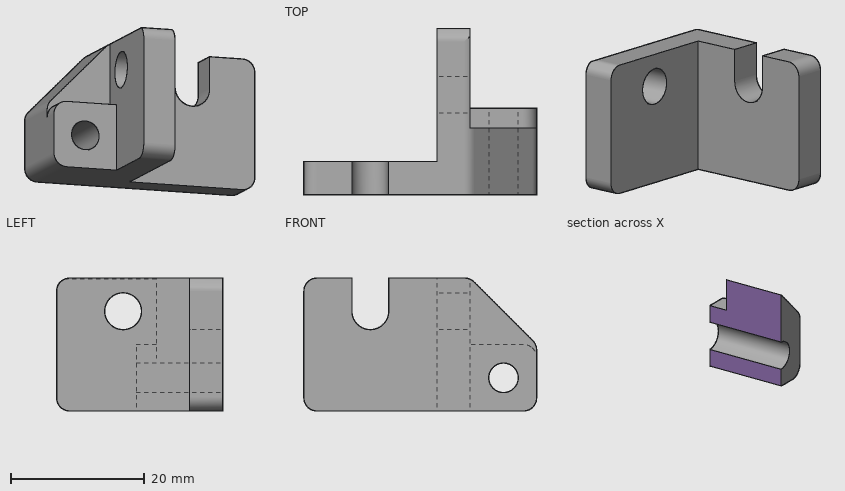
import cadquery as cq

length = 35.0
depth = 25.0
height = 20.0

corner_radius = 2.0
bevel = 10.0

plate_thickness = 5.0
wall_thickness = 5.0
wall_outer_x = length - bevel
wall_inner_x = wall_outer_x - wall_thickness
pad_depth = 10.0

boss_size = length - wall_outer_x
boss_depth = 13.0

slot_width = 5.5
slot_x = 10.0
slot_center_z = 15.0
wall_hole_diameter = 5.5
wall_hole_y = 15.0
wall_hole_z = 15.0
boss_hole_diameter = 4.4
boss_hole_x = wall_outer_x + boss_size / 2
boss_hole_z = boss_size / 2


def box(x_start, x_end, y_end, z_end):
    """Box standing on Z = 0 with its front on Y = 0."""
    return cq.Workplane("XY").box(x_end - x_start, y_end, z_end, centered=False).translate((x_start, 0, 0))


def make_profile():
    """Bevelled and rounded XZ outline, extended over the full depth."""
    outline = (
        cq.Workplane("XZ")
        .lineTo(length, 0)
        .lineTo(length, height - bevel)
        .lineTo(wall_outer_x, height)
        .lineTo(0, height)
        .close()
        .extrude(-depth)
    )
    return outline.edges("|Y").fillet(corner_radius)


def make_wall():
    """Upright wall with rounded rear corners."""
    wall = box(wall_inner_x, wall_outer_x, depth, height)
    return wall.edges("|X and >Y").fillet(corner_radius)


def make_boss():
    """Low square boss rounded on its outer corners."""
    boss = box(wall_outer_x, length, boss_depth, boss_size)
    return boss.edges("|Y and >X").fillet(corner_radius)


def make_body():
    """Plate, wall and pad trimmed to the profile, plus the boss."""
    plate = box(0, length, plate_thickness, height)
    pad = box(wall_outer_x, length, pad_depth, height)
    trimmed = plate.union(make_wall()).union(pad).intersect(make_profile())
    return trimmed.union(make_boss())


def make_slot():
    """Slot open at the top edge, with a round bottom."""
    half_width = slot_width / 2
    return (
        cq.Workplane("XZ")
        .moveTo(slot_x - half_width, height)
        .lineTo(slot_x - half_width, slot_center_z)
        .threePointArc((slot_x, slot_center_z - half_width), (slot_x + half_width, slot_center_z))
        .lineTo(slot_x + half_width, height)
        .close()
        .extrude(-plate_thickness)
    )


def make_wall_hole():
    """Hole through the upright wall along X."""
    hole = cq.Workplane("YZ").center(wall_hole_y, wall_hole_z).circle(wall_hole_diameter / 2)
    return hole.extrude(length)


def make_boss_hole():
    """Hole through the pad and boss along Y."""
    hole = cq.Workplane("XZ").center(boss_hole_x, boss_hole_z).circle(boss_hole_diameter / 2)
    return hole.extrude(-boss_depth)


result = make_body().cut(make_slot()).cut(make_wall_hole()).cut(make_boss_hole())